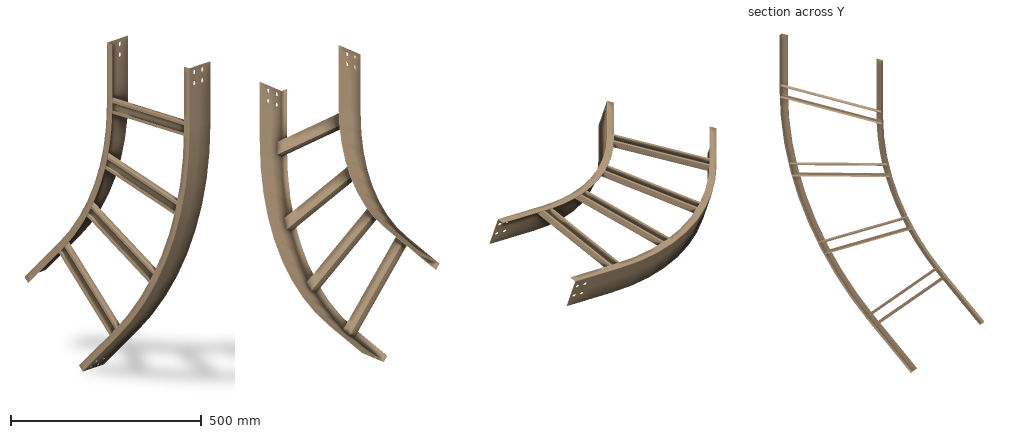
import cadquery as cq
import math

bend_angle = 45.0
inner_radius = 599.0
tray_width = 300.0
straight_length = 173.0
outer_radius = inner_radius + tray_width

rail_depth = 80.0
flange_width = 20.0
sheet = 1.5
fold_radius = 2.0

rung_count = 4
rung_width = 37.0
rung_depth = 17.0
lip_width = 7.0

slots_per_side = 2
slot_width = 7.0
slot_length = 12.0
slot_pitch = 30.0
slot_end_offset = 15.0
slot_front_offset = 20.0


def turn(shape, angle):
    """Swing a shape about the bend axis, from the upper end towards the lower end."""
    return shape.rotate((0, 0, 0), (0, 1, 0), angle)


def rail_profile(radius, inward):
    """L section with its web outside face at the given radius; inward is +1 or -1 along X."""

    def at(x, y):
        return (radius + inward * x, y)

    outer_mid = fold_radius * (1 - math.sqrt(0.5))
    inner_mid = fold_radius - (fold_radius - sheet) * math.sqrt(0.5)
    return (
        cq.Workplane("XY")
        .moveTo(*at(0, rail_depth))
        .lineTo(*at(0, fold_radius))
        .threePointArc(at(outer_mid, outer_mid), at(fold_radius, 0))
        .lineTo(*at(flange_width, 0))
        .lineTo(*at(flange_width, sheet))
        .lineTo(*at(fold_radius, sheet))
        .threePointArc(at(inner_mid, inner_mid), at(sheet, fold_radius))
        .lineTo(*at(sheet, rail_depth))
        .close()
    )


def slot_cutters(radius):
    """Splice slots through the web of the upper straight run."""
    first_height = straight_length - slot_end_offset - slot_pitch
    cut_reach = 2 * sheet
    centers = [
        (slot_front_offset + i * slot_pitch, first_height + j * slot_pitch)
        for i in range(slots_per_side)
        for j in range(slots_per_side)
    ]
    return (
        cq.Workplane("YZ", origin=(radius, 0, 0))
        .pushPoints(centers)
        .slot2D(slot_length, slot_width, 90)
        .extrude(cut_reach, both=True)
    )


def make_rail(radius, inward):
    """Straight run, bend and second straight run."""
    straight = rail_profile(radius, inward).extrude(straight_length).cut(slot_cutters(radius))
    bend = rail_profile(radius, inward).revolve(bend_angle, (0, 0, 0), (0, 1, 0))
    second_straight = turn(straight.mirror("XY"), bend_angle)
    return straight.union(bend).union(second_straight)


def make_rung(start_radius):
    """Lipped channel along X, resting on the back of the flanges and ending inside the outer web."""
    end_radius = outer_radius - sheet / 2
    half_width = rung_width / 2
    back = sheet + rung_depth
    outside = [
        (sheet, half_width - lip_width),
        (sheet, half_width),
        (back, half_width),
        (back, 0),
    ]
    inside = [
        (back - sheet, 0),
        (back - sheet, half_width - sheet),
        (2 * sheet, half_width - sheet),
        (2 * sheet, half_width - lip_width),
    ]
    upper_half = (
        cq.Workplane("YZ", origin=(start_radius, 0, 0))
        .polyline(outside + inside)
        .close()
        .extrude(end_radius - start_radius)
    )
    return upper_half.union(upper_half.mirror("XY"))


rung_starts = [inner_radius + sheet / 2] * rung_count
rung_starts[0] = inner_radius
rung_starts[-1] = inner_radius

result = make_rail(inner_radius, 1).union(make_rail(outer_radius, -1))
for index, start_radius in enumerate(rung_starts):
    angle = bend_angle * index / (rung_count - 1)
    result = result.union(turn(make_rung(start_radius), angle))